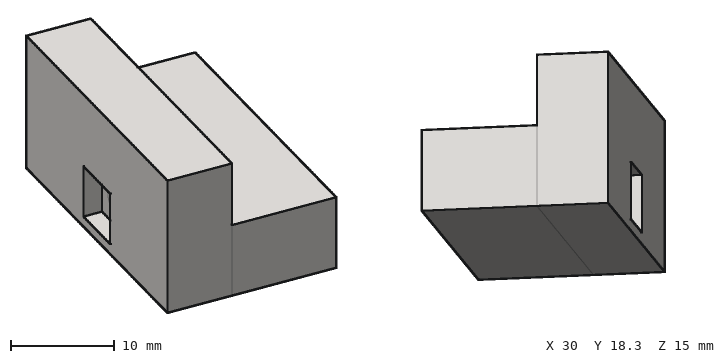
import cadquery as cq

length = 30.0
depth = 18.3
wall_height = 15.0

wall_thickness = 7.0
ledge_height = 8.0
ledge_depth = depth - wall_thickness

pocket_size = 5.7
pocket_depth = 2.0

pin_diameter = 3.2
pin_length = wall_thickness - pocket_depth
pin_center_height = ledge_height / 2


def block(size_y, size_z, front_y):
    """Full-length block centred on X, standing on Z = 0 with its front at front_y."""
    base = cq.Workplane("XY", origin=(0, front_y, 0))
    return base.box(length, size_y, size_z, centered=(True, False, False))


def pin_axis_plane(y):
    """Workplane across the pin axis; negative extrusions run toward +Y."""
    return cq.Workplane("XZ", origin=(0, y, pin_center_height))


pocket = pin_axis_plane(0).rect(pocket_size, pocket_size).extrude(-pocket_depth)
pin = pin_axis_plane(pocket_depth).circle(pin_diameter / 2).extrude(-pin_length)
wall = block(wall_thickness, wall_height, 0).cut(pocket).cut(pin)

ledge = block(ledge_depth, ledge_height, wall_thickness).union(pin)

result = wall.union(ledge, clean=False)